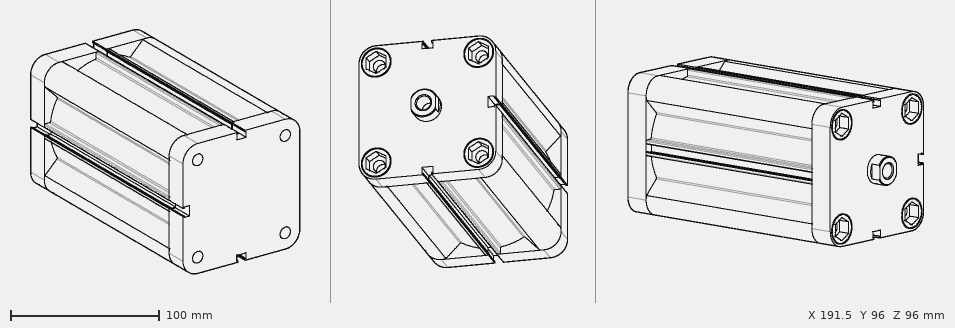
import cadquery as cq
import math

LENGTH = 191.5
SECTION = 96.0
CORNER_RADIUS = 12.0
CAP_THICKNESS = 16.5
ROD_PROJECTION = 10.0

SCREW_HOLE_DIAMETER = 8.5
SOCKET_ACROSS_FLATS = 13.8
SOCKET_DEPTH = 8.0
RING_OUTER_RADIUS = 10.3
RING_INNER_RADIUS = 10.0
RING_DEPTH = 1.0

CAP_SLOT_OPENING = 6.0
CAP_SLOT_WIDTH = 7.7
CAP_SLOT_LIP = 1.1
SLOT_DEPTH = 5.4
BARREL_SLOT_OPENING = 5.4
BARREL_SLOT_WIDTH = 6.5
BARREL_SLOT_LIP = 1.3
BARREL_SLOT_CHAMFER = 0.4

TUBE_RADIUS = 43.3
CORNER_LINE = 32.7
RAIL_WIDTH = 11.0
RAIL_EDGE_FILLET = 0.8
INNER_CORNER_FILLET = 1.0

ROD_DIAMETER = 20.0
ROD_CHAMFER = 0.5
ROD_ACROSS_FLATS = 17.0
ROD_FLAT_LENGTH = 6.9
ROD_HOLE_DIAMETER = 10.0
ROD_HOLE_DEPTH = 15.3
ROD_HOLE_MOUTH_DIAMETER = 11.5
DRILL_POINT_ANGLE = 118.0

HALF = SECTION / 2
SCREW_OFFSET = HALF - CORNER_RADIUS
X_ROD_TIP = -LENGTH / 2
X_FRONT = X_ROD_TIP + ROD_PROJECTION
X_BARREL = X_FRONT + CAP_THICKNESS
X_REAR = LENGTH / 2 - CAP_THICKNESS
BARREL_LENGTH = X_REAR - X_BARREL
SCREW_POINTS = [(y, z) for y in (-SCREW_OFFSET, SCREW_OFFSET) for z in (-SCREW_OFFSET, SCREW_OFFSET)]
ALL_SIDES = (0, 90, 180, 270)
CAP_SLOT_SIDES = (0, 90, 180)


def section_plane(x):
    """Sketch plane across the part: sketch x is Y, sketch y is Z, extrusion runs along +X."""
    return cq.Workplane("YZ", origin=(x, 0, 0))


def around_axis(shape, sides):
    """Copies of a shape made for the +Z side, turned about X onto the given sides."""
    return [shape.rotate((0, 0, 0), (1, 0, 0), side) for side in sides]


def screw_holes(x, length):
    """Rods that cut the four tie-screw holes."""
    return section_plane(x).pushPoints(SCREW_POINTS).circle(SCREW_HOLE_DIAMETER / 2).extrude(length)


def slot_cutter(x, length, opening, lip, width):
    """T-slot on the +Z side: a narrow mouth, wider under its lips."""
    floor = HALF - SLOT_DEPTH
    under_lip = HALF - lip
    channel_depth = SLOT_DEPTH - lip
    mouth = section_plane(x).center(0, (HALF + floor) / 2).rect(opening, SLOT_DEPTH).extrude(length)
    channel = section_plane(x).center(0, (under_lip + floor) / 2).rect(width, channel_depth).extrude(length)
    return mouth.union(channel)


def make_cap(x):
    """Square end cap with rounded corners, tie-screw holes and three slots."""
    cap = section_plane(x).rect(SECTION, SECTION).extrude(CAP_THICKNESS).edges("|X").fillet(CORNER_RADIUS)
    cap = cap.cut(screw_holes(x, CAP_THICKNESS))
    slot = slot_cutter(x, CAP_THICKNESS, CAP_SLOT_OPENING, CAP_SLOT_LIP, CAP_SLOT_WIDTH)
    for cutter in around_axis(slot, CAP_SLOT_SIDES):
        cap = cap.cut(cutter)
    return cap


def make_front_cap():
    """End cap with hexagon sockets inside ring grooves and a bore for the rod."""
    hexagon_diameter = SOCKET_ACROSS_FLATS / math.cos(math.pi / 6)
    face = section_plane(X_FRONT).pushPoints(SCREW_POINTS)
    rings = face.circle(RING_OUTER_RADIUS).circle(RING_INNER_RADIUS).extrude(RING_DEPTH)
    cap = make_cap(X_FRONT).cut(rings)
    for y, z in SCREW_POINTS:
        socket = section_plane(X_FRONT).polygon(6, hexagon_diameter).extrude(SOCKET_DEPTH)
        socket = socket.rotate((0, 0, 0), (1, 0, 0), 90).translate((0, y, z))
        cap = cap.cut(socket)
    return cap.cut(section_plane(X_FRONT).circle(ROD_DIAMETER / 2).extrude(CAP_THICKNESS))


def corner_column():
    """Column in the +Y +Z corner: round outside, 45 degree flanks running in to the tube."""
    drop = SCREW_OFFSET - CORNER_LINE
    reach = SCREW_OFFSET + math.sqrt(CORNER_RADIUS**2 - drop**2)
    diagonal = SCREW_OFFSET + CORNER_RADIUS / math.sqrt(2)
    run_in = CORNER_LINE
    return (
        section_plane(X_BARREL)
        .moveTo(CORNER_LINE, reach)
        .threePointArc((diagonal, diagonal), (reach, CORNER_LINE))
        .lineTo(reach - run_in, CORNER_LINE - run_in)
        .lineTo(CORNER_LINE - run_in, reach - run_in)
        .close()
        .extrude(BARREL_LENGTH)
    )


def mouth_bevel():
    """Wedge that chamfers both edges of the barrel slot's mouth on the +Z side."""
    bottom_half_width = BARREL_SLOT_OPENING / 2
    top_half_width = bottom_half_width + BARREL_SLOT_CHAMFER
    bottom = HALF - BARREL_SLOT_CHAMFER
    return (
        section_plane(X_BARREL)
        .moveTo(-bottom_half_width, bottom)
        .lineTo(bottom_half_width, bottom)
        .lineTo(top_half_width, HALF)
        .lineTo(-top_half_width, HALF)
        .close()
        .extrude(BARREL_LENGTH)
    )


def make_barrel():
    """Extruded tube with four corner columns and a slotted rail on each side."""
    barrel = section_plane(X_BARREL).circle(TUBE_RADIUS).extrude(BARREL_LENGTH)
    for column in around_axis(corner_column(), ALL_SIDES):
        barrel = barrel.union(column)
    rail = section_plane(X_BARREL).center(0, HALF / 2).rect(RAIL_WIDTH, HALF).extrude(BARREL_LENGTH)
    rail = rail.edges("|X and >Z").fillet(RAIL_EDGE_FILLET)
    for copy in around_axis(rail, ALL_SIDES):
        barrel = barrel.union(copy)
    inner_corners = cq.selectors.BoxSelector(
        (X_BARREL, -TUBE_RADIUS, -TUBE_RADIUS), (X_REAR, TUBE_RADIUS, TUBE_RADIUS)
    )
    barrel = barrel.edges("|X").edges(inner_corners).fillet(INNER_CORNER_FILLET)

    slot = slot_cutter(X_BARREL, BARREL_LENGTH, BARREL_SLOT_OPENING, BARREL_SLOT_LIP, BARREL_SLOT_WIDTH)
    slot = slot.union(mouth_bevel())
    for cutter in around_axis(slot, ALL_SIDES):
        barrel = barrel.cut(cutter)
    return barrel.cut(screw_holes(X_BARREL, BARREL_LENGTH))


def make_rod():
    """Piston rod end with a chamfered tip, two wrench flats and a drilled hole."""
    radius = ROD_DIAMETER / 2
    rod = section_plane(X_ROD_TIP).circle(radius).extrude(ROD_PROJECTION + CAP_THICKNESS)
    rod = rod.faces("<X").chamfer(ROD_CHAMFER)
    between_flats = section_plane(X_ROD_TIP).rect(ROD_ACROSS_FLATS, ROD_DIAMETER).extrude(ROD_FLAT_LENGTH)
    tip = section_plane(X_ROD_TIP).circle(ROD_DIAMETER).extrude(ROD_FLAT_LENGTH)
    rod = rod.cut(tip.cut(between_flats))

    hole_radius = ROD_HOLE_DIAMETER / 2
    mouth_radius = ROD_HOLE_MOUTH_DIAMETER / 2
    bore_end = X_ROD_TIP + ROD_HOLE_DEPTH
    point_length = hole_radius / math.tan(math.radians(DRILL_POINT_ANGLE / 2))
    hole = (
        cq.Workplane("XY")
        .moveTo(X_ROD_TIP, 0)
        .lineTo(X_ROD_TIP, mouth_radius)
        .lineTo(X_ROD_TIP + mouth_radius - hole_radius, hole_radius)
        .lineTo(bore_end, hole_radius)
        .lineTo(bore_end + point_length, 0)
        .close()
        .revolve(360, (0, 0, 0), (1, 0, 0))
    )
    return rod.cut(hole)


front_cap = make_front_cap()
barrel = make_barrel()
rear_cap = make_cap(X_REAR)
rod = make_rod()

result = cq.Compound.makeCompound([front_cap.val(), barrel.val(), rear_cap.val(), rod.val()])